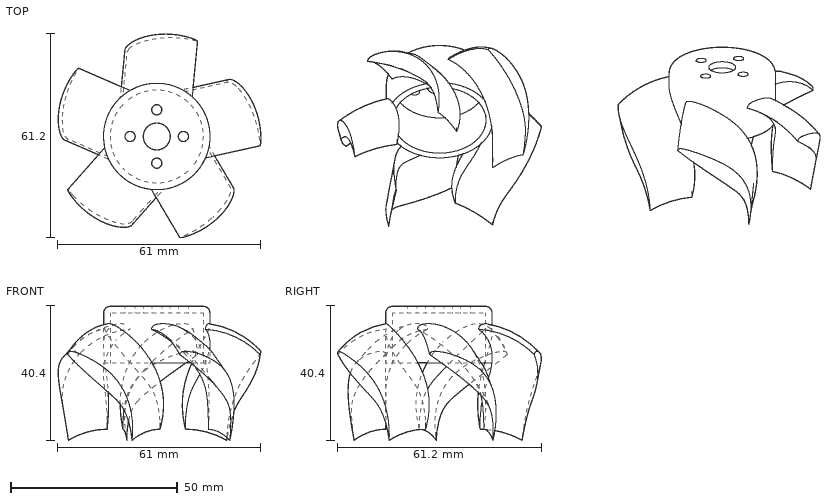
import cadquery as cq
import math

hub_diameter = 32.0
hub_height = 17.0
wall = 2.0
shaft_hole_diameter = 8.0
screw_hole_diameter = 3.0
screw_circle_diameter = 16.05
screw_hole_count = 4
hub_radius = hub_diameter / 2

blade_count = 5
first_blade_angle = 12.5
droop_radius = 26.3
droop_start = 11.15
root_reach = 7.95
sweep_end = 32.45

nose = (-9.5, -6.85)
trailing_edge = (11.3, -37.0)
outer_curve = [(-9.05, -5.9), (-6.75, -5.0), (0.0, -6.55), (4.4, -9.7), (9.4, -16.8), (12.05, -28.15)]
inner_curve = [(11.1, -31.4), (9.35, -24.7), (6.05, -19.85), (-0.85, -12.75)]

tip_top = (31.35, -13.6)
tip_middle = (29.25, -24.5)
tip_bottom = (26.55, -40.4)
envelope_floor = -42.85


def make_hub():
    hub = cq.Workplane("XY").circle(hub_radius).extrude(-hub_height)
    hub = hub.faces(">Z").edges().fillet(wall)
    cavity = cq.Workplane("XY").workplane(offset=-wall).circle(hub_radius - wall).extrude(-hub_height)
    hub = hub.cut(cavity)
    shaft_hole = cq.Workplane("XY").circle(shaft_hole_diameter / 2).extrude(-hub_height)
    screw_holes = (
        cq.Workplane("XY")
        .polarArray(screw_circle_diameter / 2, 0, 360, screw_hole_count)
        .circle(screw_hole_diameter / 2)
        .extrude(-hub_height)
    )
    return hub.cut(shaft_hole).cut(screw_holes)


def make_envelope():
    """Ring between the hub's cylinder and the blade tips."""
    return (
        cq.Workplane("XZ")
        .moveTo(hub_radius, 0)
        .lineTo(tip_top[0], 0)
        .lineTo(*tip_top)
        .threePointArc(tip_middle, tip_bottom)
        .lineTo(tip_bottom[0], envelope_floor)
        .lineTo(hub_radius, envelope_floor)
        .close()
        .revolve(360, (0, 0, 0), (0, 1, 0))
    )


def droop_point(reach):
    """Point on the droop arc at a given distance out from the hub axis."""
    run = reach - droop_start
    return (reach, math.sqrt(droop_radius**2 - run**2) - droop_radius)


def blade_section():
    return (
        cq.Workplane("YZ", origin=(root_reach, 0, 0))
        .moveTo(*nose)
        .spline(outer_curve + [trailing_edge], includeCurrent=True)
        .spline(inner_curve + [nose], includeCurrent=True)
        .close()
    )


def make_blade():
    """Blade pointing along +X, with every section parallel to the YZ plane."""
    path = (
        cq.Workplane("XZ")
        .moveTo(root_reach, 0)
        .lineTo(droop_start, 0)
        .threePointArc(droop_point((droop_start + sweep_end) / 2), droop_point(sweep_end))
    )
    swept = blade_section().sweep(path, normal=(1, 0, 0))
    return swept.intersect(make_envelope())


result = make_hub()
blade = make_blade()
for index in range(blade_count):
    angle = first_blade_angle + index * 360 / blade_count
    result = result.union(blade.rotate((0, 0, 0), (0, 0, 1), angle))